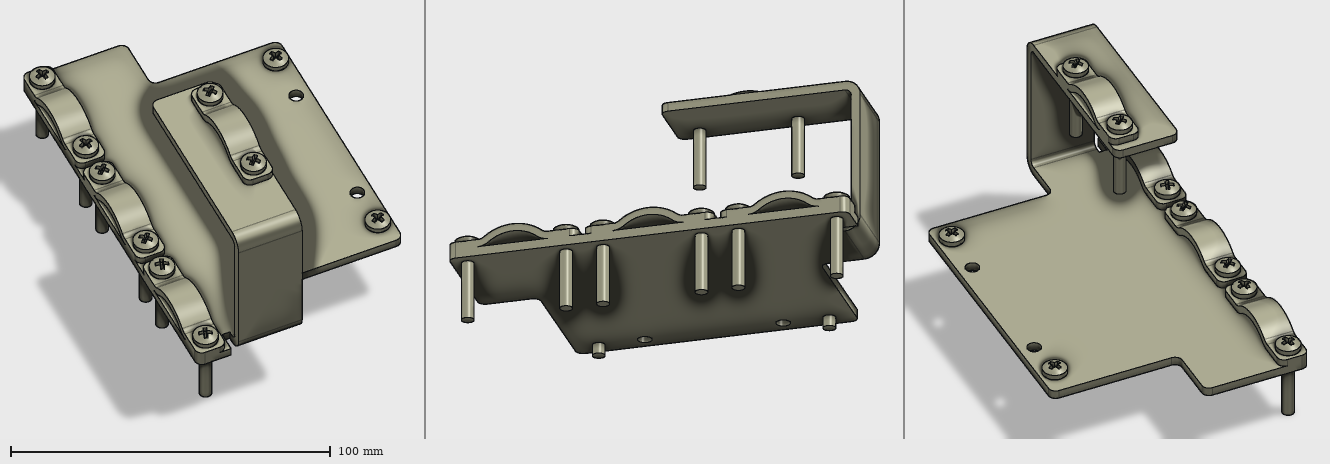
import cadquery as cq
import math

length = 130.0
depth = 80.0
sheet = 3.0
outer_bend = 5.0
corner_radius = 2.5

body_width = 91.5
shoulder_y = 36.0

strip_front_y = 14.0
strip_length = 65.0
strip_underside_z = 48.5
relief_front_y = 11.5
relief_depth = 6.5

rear_hole_spacing = 45.0
rear_hole_diameter = 4.5

clamp_length = 42.0
clamp_depth = 10.0
clamp_thickness = 2.5
arch_rise = 6.5
arch_radius = 15.0
arch_bend_radius = 3.0
clamp_count = 3
upper_clamp_inset = 3.0

screw_inset = 5.0
screw_spacing = 32.0
shank_diameter = 4.0
clamp_shank_reach = 19.5
head_diameter = 8.0
rim_height = 2.5
dome_height = 1.3
under_head_chamfer = 0.8
clamp_head_sink = 0.5
recess_span = 4.4
recess_slot_width = 1.3
recess_depth = 1.7
recess_taper = 12.0

rear_screw_spacing = 75.0
rear_shank_reach = 3.6
rear_screw_angle = 25.0
clamp_screw_angles = (15.0, 45.0, -20.0)
upper_screw_angle = 45.0

mid_x = length / 2
body_left = mid_x - body_width / 2
body_right = mid_x + body_width / 2
bend_start_x = length - outer_bend
strip_top_z = strip_underside_z + sheet
strip_left = length - strip_length
rear_row_y = depth - screw_inset


def round_upright_edges(solid, corners, z):
    """Round the vertical edges that pass through the given (x, y) corners at height z."""
    for x, y in corners:
        solid = solid.edges(cq.NearestToPointSelector((x, y, z))).fillet(corner_radius)
    return solid


def base_plate():
    relief_x = length - relief_depth
    front_corners = [(0, 0), (length, 0)]
    relief = [
        (length, relief_front_y),
        (relief_x, relief_front_y),
        (relief_x, strip_front_y),
        (bend_start_x, strip_front_y),
        (bend_start_x, shoulder_y),
    ]
    rear_corners = [
        (body_right, shoulder_y),
        (body_right, depth),
        (body_left, depth),
        (body_left, shoulder_y),
        (0, shoulder_y),
    ]
    plate = cq.Workplane("XY").polyline(front_corners + relief + rear_corners).close().extrude(sheet)
    plate = round_upright_edges(plate, front_corners + rear_corners, sheet / 2)
    hole_offset = rear_hole_spacing / 2
    holes = (
        cq.Workplane("XY")
        .pushPoints([(mid_x - hole_offset, rear_row_y), (mid_x + hole_offset, rear_row_y)])
        .circle(rear_hole_diameter / 2)
        .extrude(sheet)
    )
    return plate.cut(holes)


def folded_strip():
    """U-shaped strip, open to the left, whose lower leg lies in the base plate."""
    width = shoulder_y - strip_front_y
    outside = (
        cq.Workplane("XY")
        .box(strip_length, width, strip_top_z, centered=False)
        .edges(">X and |Y")
        .fillet(outer_bend)
    )
    inside = (
        cq.Workplane("XY")
        .box(strip_length - sheet, width, strip_underside_z - sheet, centered=False)
        .edges(">X and |Y")
        .fillet(outer_bend - sheet)
        .translate((0, 0, sheet))
    )
    strip = outside.cut(inside).translate((strip_left, strip_front_y, 0))
    free_corners = [(strip_left, strip_front_y), (strip_left, shoulder_y)]
    return round_upright_edges(strip, free_corners, strip_underside_z + sheet / 2)


def clamp():
    """Clamp resting on z = 0, centred on x = 0, running from y = 0 to clamp_depth."""
    arch_z = arch_rise - arch_radius
    bend_z = clamp_thickness + arch_bend_radius
    centre_distance = arch_radius + arch_bend_radius
    half_angle = math.acos((bend_z - arch_z) / centre_distance)
    bend_x = centre_distance * math.sin(half_angle)
    half_length = clamp_length / 2

    def on_arch(radius, angle):
        return (radius * math.sin(angle), arch_z + radius * math.cos(angle))

    def on_bend(radius, angle, side):
        return (side * (bend_x - radius * math.sin(angle)), bend_z - radius * math.cos(angle))

    under_arch = arch_radius - clamp_thickness
    under_bend = arch_bend_radius + clamp_thickness
    half_bend = half_angle / 2
    profile = (
        cq.Workplane("XZ")
        .moveTo(-half_length, 0)
        .lineTo(-half_length, clamp_thickness)
        .lineTo(-bend_x, clamp_thickness)
        .threePointArc(on_bend(arch_bend_radius, half_bend, -1), on_arch(arch_radius, -half_angle))
        .threePointArc((0, arch_rise), on_arch(arch_radius, half_angle))
        .threePointArc(on_bend(arch_bend_radius, half_bend, 1), (bend_x, clamp_thickness))
        .lineTo(half_length, clamp_thickness)
        .lineTo(half_length, 0)
        .lineTo(bend_x, 0)
        .threePointArc(on_bend(under_bend, half_bend, 1), on_arch(under_arch, half_angle))
        .threePointArc((0, arch_rise - clamp_thickness), on_arch(under_arch, -half_angle))
        .threePointArc(on_bend(under_bend, half_bend, -1), (-bend_x, 0))
        .close()
    )
    return profile.extrude(-clamp_depth).edges("|Z").fillet(corner_radius)


def cross_recess(top_z, angle):
    """Two crossed slots that narrow towards their floor."""
    slot = cq.Workplane("XY").rect(recess_span, recess_slot_width).extrude(-recess_depth, taper=recess_taper)
    cross = slot.union(slot.rotate((0, 0, 0), (0, 0, 1), 90))
    return cross.rotate((0, 0, 0), (0, 0, 1), angle).translate((0, 0, top_z))


def screw(shank_length, angle):
    """Screw whose head sits on z = 0, with a domed top above the cylindrical rim."""
    head_radius = head_diameter / 2
    rim = cq.Workplane("XY").circle(head_radius).extrude(rim_height)
    rim = rim.faces("<Z").edges().chamfer(under_head_chamfer)
    top_z = rim_height + dome_height
    sphere_radius = (head_radius**2 + dome_height**2) / (2 * dome_height)
    half_arc = math.asin(head_radius / sphere_radius) / 2
    arc_middle = (
        sphere_radius * math.sin(half_arc),
        top_z - sphere_radius * (1 - math.cos(half_arc)),
    )
    dome = (
        cq.Workplane("XZ")
        .moveTo(0, rim_height)
        .lineTo(head_radius, rim_height)
        .threePointArc(arc_middle, (0, top_z))
        .close()
        .revolve(360, (0, 0), (0, 1))
    )
    shank = cq.Workplane("XY").circle(shank_diameter / 2).extrude(-shank_length)
    return rim.union(dome).union(shank).cut(cross_recess(top_z, angle))


def clamp_with_screws(screw_angle):
    seat_z = clamp_thickness - clamp_head_sink
    fastener = screw(clamp_shank_reach + sheet + seat_z, screw_angle)
    assembly = clamp()
    for side in (-1, 1):
        position = (side * screw_spacing / 2, screw_inset, seat_z)
        assembly = assembly.union(fastener.translate(position))
    return assembly


result = base_plate().union(folded_strip())

clamp_pitch = (length - clamp_length) / (clamp_count - 1)
for index, screw_angle in enumerate(clamp_screw_angles):
    clamp_x = clamp_length / 2 + index * clamp_pitch
    result = result.union(clamp_with_screws(screw_angle).translate((clamp_x, 0, sheet)))

upper_clamp_x = strip_left + upper_clamp_inset + clamp_length / 2
upper_clamp = clamp_with_screws(upper_screw_angle)
result = result.union(upper_clamp.translate((upper_clamp_x, shoulder_y - clamp_depth, strip_top_z)))

rear_screw = screw(rear_shank_reach + sheet, rear_screw_angle)
for side in (-1, 1):
    screw_x = mid_x + side * rear_screw_spacing / 2
    result = result.union(rear_screw.translate((screw_x, rear_row_y, sheet)))